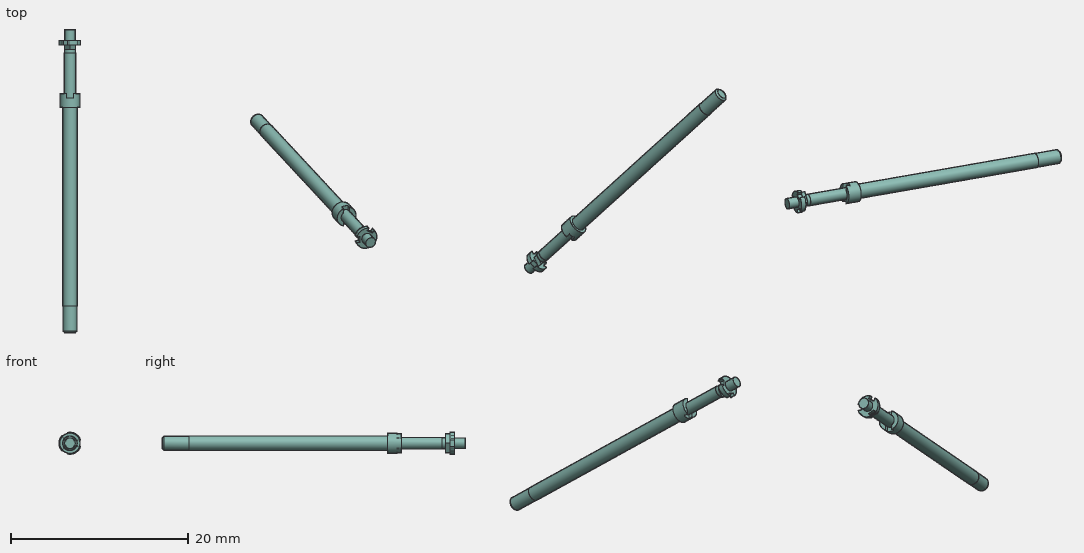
import cadquery as cq
import math

total_length = 34.2

nose_length = 3.0
nose_radius = 0.8
nose_chamfer = 0.2
barrel_length = 22.45
barrel_radius = 0.825
collar_length = 1.55
collar_radius = 1.15
sleeve_length = 4.55
sleeve_radius = 0.67
neck_length = 0.4
neck_radius = 0.64
lug_length = 0.5
flange_length = 0.55
flange_radius = 1.25
tail_radius = 0.605

collar_slot_width = 0.75
collar_slot_depth = 0.5

flange_slot_count = 3
flange_slot_width = 0.7
flange_slot_floor = 0.83

lug_half_height = 1.1
lug_point_angle = 60
lug_half_width = lug_half_height * math.tan(math.radians(lug_point_angle / 2))

barrel_start = nose_length
collar_start = barrel_start + barrel_length
sleeve_start = collar_start + collar_length
neck_start = sleeve_start + sleeve_length
lug_start = neck_start + neck_length
flange_start = lug_start + lug_length
tail_start = flange_start + flange_length
tail_length = total_length - tail_start


def section_plane(y):
    """Workplane across the probe axis at y, with local x = +X, local y = -Z and normal +Y."""
    return cq.Workplane(cq.Plane(origin=(0, y, 0), xDir=(1, 0, 0), normal=(0, 1, 0)))


def rod(start, length, radius):
    return section_plane(start).circle(radius).extrude(length)


def make_nose():
    nose = rod(0, nose_length, nose_radius)
    return nose.faces("<Y").edges().chamfer(nose_chamfer)


def make_collar():
    collar = rod(collar_start, collar_length, collar_radius)
    slots = (
        section_plane(sleeve_start - collar_slot_depth)
        .rect(collar_slot_width, 2 * collar_radius)
        .extrude(collar_slot_depth)
    )
    return collar.cut(slots)


def make_flange():
    flange = rod(flange_start, flange_length, flange_radius)
    slot_length = 2 * (flange_radius - flange_slot_floor)
    slot = (
        section_plane(flange_start)
        .center(flange_slot_floor + slot_length / 2, 0)
        .rect(slot_length, flange_slot_width)
        .extrude(flange_length)
    )
    for index in range(flange_slot_count):
        angle = index * 360 / flange_slot_count
        flange = flange.cut(slot.rotate((0, 0, 0), (0, 1, 0), angle))
    return flange


def make_sleeve():
    """Sleeve, continued into the collar as the floor of the collar slots."""
    start = sleeve_start - collar_slot_depth
    return rod(start, neck_start - start, sleeve_radius)


def make_lug():
    corners = [
        (lug_half_width, 0),
        (0, lug_half_height),
        (-lug_half_width, 0),
        (0, -lug_half_height),
    ]
    return section_plane(lug_start).polyline(corners).close().extrude(lug_length)


result = (
    make_nose()
    .union(rod(barrel_start, barrel_length, barrel_radius))
    .union(make_collar())
    .union(make_sleeve())
    .union(rod(neck_start, neck_length, neck_radius))
    .union(make_lug())
    .union(make_flange())
    .union(rod(tail_start, tail_length, tail_radius))
)